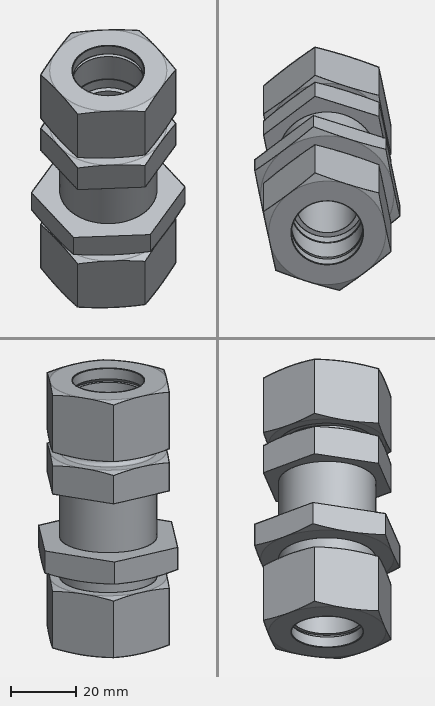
import cadquery as cq
import math


TOTAL_LENGTH = 84.0
CAP_NUT_HEIGHT = 20.0
NECK_LENGTH = 3.0
HEX_HEIGHT = 10.0
LOCK_NUT_HEIGHT = 8.1
LOCK_NUT_BASE_Z = 24.95

HEX_TOP_Z = TOTAL_LENGTH - CAP_NUT_HEIGHT - NECK_LENGTH
HEX_BASE_Z = HEX_TOP_Z - HEX_HEIGHT

HEX_FLATS = 36.0
LOCK_NUT_FLATS = 41.0
HEX_CHAMFER_ANGLE = 15.0

THREAD_DIAMETER = 30.0
NECK_DIAMETER = 27.0
NECK_FILLET = 1.5
FLOW_DIAMETER = 19.0
TUBE_DIAMETER = 22.0
SHOULDER_DIAMETER = 27.8
SEAT_DIAMETER = 24.3
SEAT_ANGLE = 12.0
NUT_MOUTH_CHAMFER = 0.2
FERRULE_TIP_WIDTH = 0.25

NUT_MOUTH_DEPTH = 3.5
FERRULE_TIP_DEPTH = 14.45
TUBE_STOP_DEPTH = 18.0

THREAD_RADIUS = THREAD_DIAMETER / 2
NECK_RADIUS = NECK_DIAMETER / 2
FLOW_RADIUS = FLOW_DIAMETER / 2
TUBE_RADIUS = TUBE_DIAMETER / 2
SHOULDER_RADIUS = SHOULDER_DIAMETER / 2
SEAT_RADIUS = SEAT_DIAMETER / 2
TIP_RADIUS = TUBE_RADIUS + FERRULE_TIP_WIDTH

FERRULE_REAR_DEPTH = NUT_MOUTH_DEPTH + SEAT_RADIUS - TUBE_RADIUS
SHOULDER_DEPTH = NUT_MOUTH_DEPTH + SHOULDER_RADIUS - TUBE_RADIUS
SEAT_LENGTH = (SEAT_RADIUS - TIP_RADIUS) / math.tan(math.radians(SEAT_ANGLE))
HOUSING_END_DEPTH = FERRULE_TIP_DEPTH - SEAT_LENGTH


def revolve_profile(points):
    """Revolve a closed outline of (radius, z) points about the Z axis."""
    return cq.Workplane("XZ").polyline(points).close().revolve(360, (0, 0), (0, 1))


def cylinder(radius, base_z, top_z):
    return cq.Workplane("XY").workplane(offset=base_z).circle(radius).extrude(top_z - base_z)


def flip_end_for_end(body):
    """Turn a body placed at the top end over to the bottom end."""
    return body.rotate((0, 0, 0), (1, 0, 0), 180).translate((0, 0, TOTAL_LENGTH))


def hexagon(flats, base_z, top_z, chamfer_base, chamfer_top):
    """Hexagonal prism with corners on Y and turned chamfers on the chosen ends."""
    flat_radius = flats / 2
    corner_radius = flats / math.sqrt(3)
    drop = (corner_radius - flat_radius) * math.tan(math.radians(HEX_CHAMFER_ANGLE))
    prism = (
        cq.Workplane("XY")
        .workplane(offset=base_z)
        .polygon(6, 2 * corner_radius)
        .extrude(top_z - base_z)
        .rotate((0, 0, 0), (0, 0, 1), 30)
    )
    outline = [(0, base_z)]
    if chamfer_base:
        outline += [(flat_radius, base_z), (corner_radius, base_z + drop)]
    else:
        outline += [(corner_radius, base_z)]
    if chamfer_top:
        outline += [(corner_radius, top_z - drop), (flat_radius, top_z)]
    else:
        outline += [(corner_radius, top_z)]
    outline += [(0, top_z)]
    return prism.intersect(revolve_profile(outline))


def make_tube_socket():
    """Void at the top end of the housing: seat cone, then a tube bore down to its stop."""
    return revolve_profile([
        (0, TOTAL_LENGTH - HOUSING_END_DEPTH),
        (SEAT_RADIUS, TOTAL_LENGTH - HOUSING_END_DEPTH),
        (TIP_RADIUS, TOTAL_LENGTH - FERRULE_TIP_DEPTH),
        (TUBE_RADIUS, TOTAL_LENGTH - FERRULE_TIP_DEPTH),
        (TUBE_RADIUS, TOTAL_LENGTH - TUBE_STOP_DEPTH),
        (0, TOTAL_LENGTH - TUBE_STOP_DEPTH),
    ])


def make_neck():
    """Neck that flares with a concave fillet onto the housing hex."""
    fillet_foot = NECK_RADIUS + NECK_FILLET
    arc_reach = NECK_FILLET * (1 - math.sqrt(0.5))
    neck_top_z = HEX_TOP_Z + NECK_LENGTH
    return (
        cq.Workplane("XZ")
        .moveTo(0, HEX_TOP_Z)
        .lineTo(fillet_foot, HEX_TOP_Z)
        .threePointArc(
            (NECK_RADIUS + arc_reach, HEX_TOP_Z + arc_reach),
            (NECK_RADIUS, HEX_TOP_Z + NECK_FILLET),
        )
        .lineTo(NECK_RADIUS, neck_top_z)
        .lineTo(0, neck_top_z)
        .close()
        .revolve(360, (0, 0), (0, 1))
    )


def make_housing():
    long_thread = cylinder(THREAD_RADIUS, HOUSING_END_DEPTH, HEX_BASE_Z)
    grip = hexagon(HEX_FLATS, HEX_BASE_Z, HEX_TOP_Z, chamfer_base=False, chamfer_top=True)
    short_thread = cylinder(
        THREAD_RADIUS, HEX_TOP_Z + NECK_LENGTH, TOTAL_LENGTH - HOUSING_END_DEPTH
    )
    socket = make_tube_socket()
    return (
        long_thread.union(grip)
        .union(make_neck())
        .union(short_thread)
        .cut(cylinder(FLOW_RADIUS, 0, TOTAL_LENGTH))
        .cut(socket)
        .cut(flip_end_for_end(socket))
    )


def make_lock_nut():
    top_z = LOCK_NUT_BASE_Z + LOCK_NUT_HEIGHT
    blank = hexagon(LOCK_NUT_FLATS, LOCK_NUT_BASE_Z, top_z, chamfer_base=True, chamfer_top=False)
    return blank.cut(cylinder(THREAD_RADIUS, LOCK_NUT_BASE_Z, top_z))


def make_cap_nut():
    """Cap nut at the top end: tube mouth, clamping cone, ferrule chamber and thread."""
    base_z = TOTAL_LENGTH - CAP_NUT_HEIGHT
    blank = hexagon(HEX_FLATS, base_z, TOTAL_LENGTH, chamfer_base=True, chamfer_top=True)
    cavity = revolve_profile([
        (0, TOTAL_LENGTH),
        (TUBE_RADIUS + NUT_MOUTH_CHAMFER, TOTAL_LENGTH),
        (TUBE_RADIUS, TOTAL_LENGTH - NUT_MOUTH_CHAMFER),
        (TUBE_RADIUS, TOTAL_LENGTH - NUT_MOUTH_DEPTH),
        (SHOULDER_RADIUS, TOTAL_LENGTH - SHOULDER_DEPTH),
        (SHOULDER_RADIUS, TOTAL_LENGTH - HOUSING_END_DEPTH),
        (THREAD_RADIUS, TOTAL_LENGTH - HOUSING_END_DEPTH),
        (THREAD_RADIUS, base_z),
        (0, base_z),
    ])
    return blank.cut(cavity)


def make_ferrule():
    """Ferrule at the top end, wedged between the cap nut cone and the housing seat."""
    return revolve_profile([
        (TUBE_RADIUS, TOTAL_LENGTH - FERRULE_REAR_DEPTH),
        (SEAT_RADIUS, TOTAL_LENGTH - FERRULE_REAR_DEPTH),
        (SHOULDER_RADIUS, TOTAL_LENGTH - SHOULDER_DEPTH),
        (SHOULDER_RADIUS, TOTAL_LENGTH - HOUSING_END_DEPTH),
        (SEAT_RADIUS, TOTAL_LENGTH - HOUSING_END_DEPTH),
        (TIP_RADIUS, TOTAL_LENGTH - FERRULE_TIP_DEPTH),
        (TUBE_RADIUS, TOTAL_LENGTH - FERRULE_TIP_DEPTH),
    ])


housing = make_housing()
lock_nut = make_lock_nut()

end_bodies = []
for make_body in (make_cap_nut, make_ferrule):
    top_body = make_body()
    bottom_body = flip_end_for_end(top_body)
    end_bodies += [top_body.val(), bottom_body.val()]

result = cq.Compound.makeCompound([housing.val(), lock_nut.val(), *end_bodies])